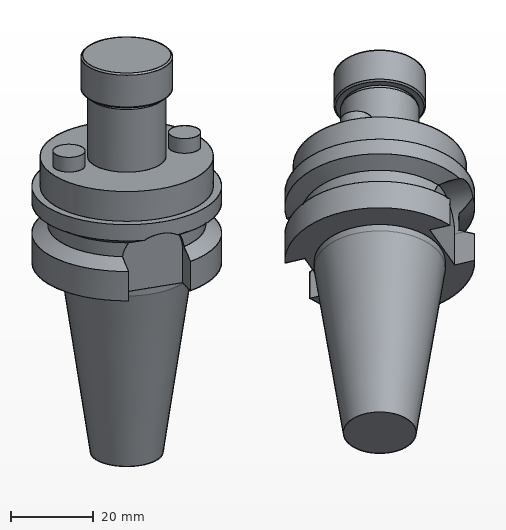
import cadquery as cq

TAPER_TOP = 48.4
FLANGE_BOTTOM = 50.3
GROOVE_LOWER_RIM = 58.1
GROOVE_UPPER_RIM = 66.2
FLANGE_TOP = 70.5
COLLAR_TOP = 78.4
TOTAL_HEIGHT = 105.2
HEAD_HEIGHT = 9.3
HEAD_BOTTOM = TOTAL_HEIGHT - HEAD_HEIGHT

TAPER_RATIO = 7 / 24
TAPER_LARGE_DIAMETER = 31.8
TAPER_SMALL_DIAMETER = TAPER_LARGE_DIAMETER - TAPER_RATIO * TAPER_TOP
FLANGE_DIAMETER = 46.0
GROOVE_DIAMETER = 38.3
COLLAR_DIAMETER = 42.0
ARBOR_DIAMETER = 19.0
HEAD_DIAMETER = 22.2

GROOVE_WALL_RISE = 2.2
ARBOR_CHAMFER_WIDTH = 0.4
ARBOR_CHAMFER_HEIGHT = 0.9
HEAD_CHAMFER = 0.4

SLOT_WIDTH = 16.1
SLOT_TOP = 67.5
SLOT_FLOOR_OFFSET = 16.3

PIN_DIAMETER = 7.8
PIN_HEIGHT = 3.9
PIN_OFFSET = 15.0


def make_turned_holder():
    """Taper, grooved flange, collar and arbor as one revolved profile."""
    taper_small = TAPER_SMALL_DIAMETER / 2
    taper_large = TAPER_LARGE_DIAMETER / 2
    flange = FLANGE_DIAMETER / 2
    groove = GROOVE_DIAMETER / 2
    collar = COLLAR_DIAMETER / 2
    arbor = ARBOR_DIAMETER / 2
    profile = [
        (0, 0),
        (taper_small, 0),
        (taper_large, TAPER_TOP),
        (taper_large, FLANGE_BOTTOM),
        (flange, FLANGE_BOTTOM),
        (flange, GROOVE_LOWER_RIM),
        (groove, GROOVE_LOWER_RIM + GROOVE_WALL_RISE),
        (groove, GROOVE_UPPER_RIM - GROOVE_WALL_RISE),
        (flange, GROOVE_UPPER_RIM),
        (flange, FLANGE_TOP),
        (collar, FLANGE_TOP),
        (collar, COLLAR_TOP),
        (arbor, COLLAR_TOP),
        (arbor, HEAD_BOTTOM - ARBOR_CHAMFER_HEIGHT),
        (arbor - ARBOR_CHAMFER_WIDTH, HEAD_BOTTOM),
        (0, HEAD_BOTTOM),
    ]
    return cq.Workplane("XZ").polyline(profile).close().revolve(360, (0, 0, 0), (0, 1, 0))


def make_slot_cutter(side):
    """Round-topped drive slot, open below, on the given side (+1 or -1) of X."""
    half_width = SLOT_WIDTH / 2
    arc_center = SLOT_TOP - half_width
    return (
        cq.Workplane("YZ", origin=(side * SLOT_FLOOR_OFFSET, 0, 0))
        .moveTo(-half_width, FLANGE_BOTTOM)
        .lineTo(half_width, FLANGE_BOTTOM)
        .lineTo(half_width, arc_center)
        .threePointArc((0, SLOT_TOP), (-half_width, arc_center))
        .close()
        .extrude(side * FLANGE_DIAMETER / 2)
    )


def make_holder():
    holder = make_turned_holder()
    for side in (-1, 1):
        holder = holder.cut(make_slot_cutter(side))
    return holder


def make_screw_head():
    """Round head seated on the end of the arbor, with both rims chamfered."""
    return (
        cq.Workplane("XY", origin=(0, 0, HEAD_BOTTOM))
        .circle(HEAD_DIAMETER / 2)
        .extrude(HEAD_HEIGHT)
        .edges("%CIRCLE")
        .chamfer(HEAD_CHAMFER)
    )


def make_drive_pin(side):
    """Pin on the collar face, on the given side (+1 or -1) of Y."""
    return (
        cq.Workplane("XY", origin=(0, side * PIN_OFFSET, COLLAR_TOP))
        .circle(PIN_DIAMETER / 2)
        .extrude(PIN_HEIGHT)
    )


holder = make_holder()
screw_head = make_screw_head()
drive_pins = [make_drive_pin(side).val() for side in (-1, 1)]

result = cq.Compound.makeCompound([holder.val(), screw_head.val(), *drive_pins])